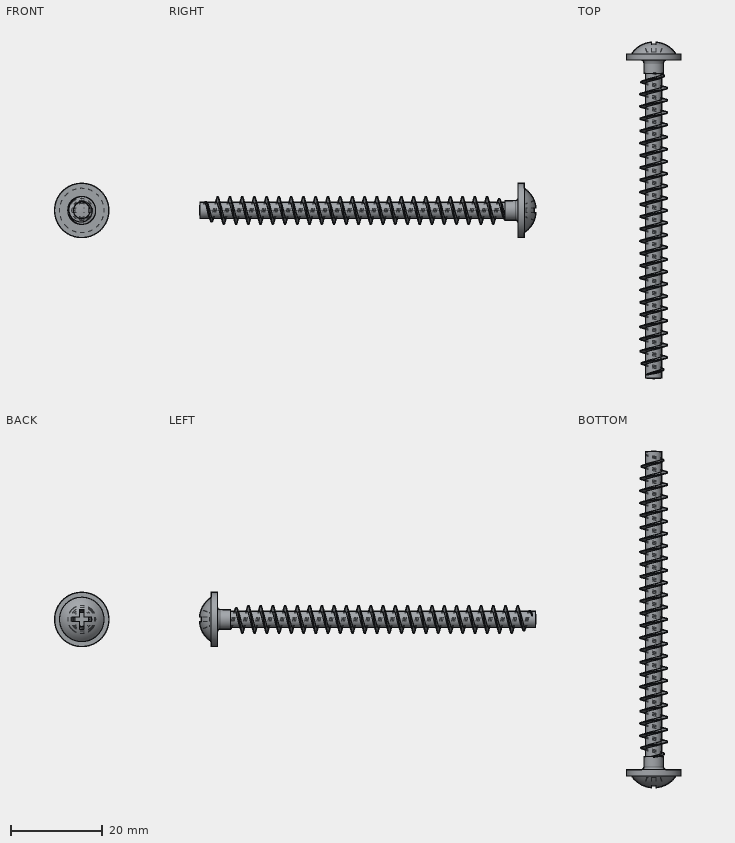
import cadquery as cq
import math

total_length = 73.85
head_height = 4.0
flange_radius = 6.0
flange_thickness = 1.4
dome_radius_at_flange = 4.9
shank_length = total_length - head_height

neck_radius = 4.35 / 2
neck_length = 2.9
neck_fillet = 0.6
core_radius = 3.6 / 2
tip_cone_height = 0.15

recess_reach = 2.4
recess_width = 0.95
recess_depth = 2.2
recess_taper = 20
recess_clearance = 0.1
recess_corner = recess_width / math.sqrt(2)

thread_radius = 6.1 / 2
root_overlap = 0.15
thread_root_radius = core_radius - root_overlap
buried_crest_radius = core_radius - root_overlap / 2
thread_root_width = 0.75
thread_crest_width = 0.11
thread_start = 1.4
thread_start_angle = 90
run_in_turns = 1.5
full_turns = 22.5
run_out_turns = 1.25
thread_length = 67.8
pitch = thread_length / (run_in_turns + full_turns + run_out_turns)


def make_body():
    """Revolved blank: domed head, flange, filleted neck, core and shallow conical tip."""
    dome_centre = (
        head_height**2 + recess_corner**2 - flange_thickness**2 - dome_radius_at_flange**2
    ) / (2 * (head_height - flange_thickness))
    sphere_radius = math.hypot(dome_radius_at_flange, flange_thickness - dome_centre)
    mid_angle = math.asin(dome_radius_at_flange / sphere_radius) / 2
    dome_middle = (
        sphere_radius * math.sin(mid_angle),
        dome_centre + sphere_radius * math.cos(mid_angle),
    )
    tip_edge = -shank_length + tip_cone_height
    profile = (
        cq.Workplane("XY")
        .moveTo(0, dome_centre + sphere_radius)
        .threePointArc(dome_middle, (dome_radius_at_flange, flange_thickness))
        .lineTo(flange_radius, flange_thickness)
        .lineTo(flange_radius, 0)
        .lineTo(neck_radius + neck_fillet, 0)
        .radiusArc((neck_radius, -neck_fillet), -neck_fillet)
        .lineTo(neck_radius, -neck_length)
        .lineTo(core_radius, -neck_length)
        .lineTo(core_radius, tip_edge)
        .lineTo(0, -shank_length)
        .close()
    )
    return profile.revolve(360, (0, 0, 0), (0, 1, 0))


def make_recess():
    """Tapered cross recess sunk from the top of the dome."""
    cutter_top = head_height + recess_clearance
    cutter_depth = recess_depth + recess_clearance
    top = cq.Workplane("XZ", origin=(0, cutter_top, 0))
    slot = top.rect(2 * recess_reach, recess_width).extrude(cutter_depth)
    cross = slot.union(slot.rotate((0, 0, 0), (0, 1, 0), 90))
    floor_radius = recess_reach - cutter_depth * math.tan(math.radians(recess_taper))
    taper = cq.Solid.makeCone(
        recess_reach, floor_radius, cutter_depth, cq.Vector(0, cutter_top, 0), cq.Vector(0, -1, 0)
    )
    return cross.intersect(cq.Workplane(taper))


def helix_edge(start_radius, end_radius, length, rise):
    """Right-handed helix about Z, climbing `length` from height `rise` on a cylinder or widening cone."""
    if start_radius == end_radius:
        wire = cq.Wire.makeHelix(pitch, length, start_radius)
    else:
        half_angle = math.atan2(end_radius - start_radius, length)
        stretch = 1 / math.cos(half_angle)
        wire = cq.Wire.makeHelix(
            pitch * stretch, length * stretch, start_radius, angle=math.degrees(half_angle)
        )
    return wire.Edges()[0].translate(cq.Vector(0, 0, rise))


def make_ridge(turns, start_crest, end_crest):
    """Solid stretch of ridge about Z, its crest going evenly from one radius to another."""
    length = turns * pitch
    corners = [
        helix_edge(thread_root_radius, thread_root_radius, length, -thread_root_width / 2),
        helix_edge(start_crest, end_crest, length, -thread_crest_width / 2),
        helix_edge(start_crest, end_crest, length, thread_crest_width / 2),
        helix_edge(thread_root_radius, thread_root_radius, length, thread_root_width / 2),
    ]
    faces = [cq.Face.makeRuledSurface(corners[i - 1], corners[i]) for i in range(len(corners))]
    for end in (0, 1):
        outline = [edge.positionAt(end) for edge in corners]
        faces.append(cq.Face.makeFromWires(cq.Wire.makePolygon(outline, close=True)))
    return cq.Workplane(cq.Solid.makeSolid(cq.Shell.makeShell(faces)))


def screw_along(ridge, turns):
    """Move a stretch of ridge up the helix about Z by a number of turns."""
    return ridge.rotate((0, 0, 0), (0, 0, 1), 360 * turns).translate((0, 0, pitch * turns))


def make_thread():
    """Ridge along the core, growing out of it near the neck and fading back into it at the tip."""
    run_in = make_ridge(run_in_turns, buried_crest_radius, thread_radius)
    full = screw_along(make_ridge(full_turns, thread_radius, thread_radius), run_in_turns)
    run_out = make_ridge(run_out_turns, buried_crest_radius, thread_radius)
    run_out = run_out.rotate((0, 0, 0), (1, 0, 0), 180)
    run_out = screw_along(run_out, run_in_turns + full_turns + run_out_turns)
    return (
        run_in.union(full)
        .union(run_out)
        .rotate((0, 0, 0), (0, 0, 1), thread_start_angle)
        .rotate((0, 0, 0), (1, 0, 0), 90)
        .translate((0, -thread_start, 0))
    )


result = make_body().cut(make_recess()).union(make_thread())